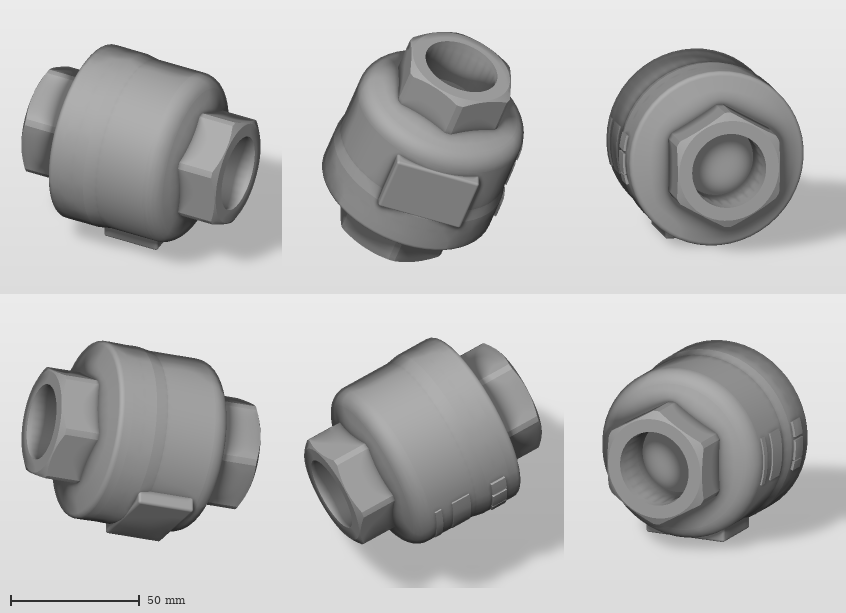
import cadquery as cq
import math

length = 84.0

ring_radius = 70.0 / 2
barrel_radius = 68.0 / 2
ring_start = -21.6
ring_draft_start = -18.15
ring_end = -8.1
ring_end_radius = 34.95
barrel_start = -3.0
barrel_end = 17.05
left_round = 2.0
right_round = 7.0
left_cone_angle = math.radians(15)
right_cone_angle = math.radians(20)

hex_flats = 41.0
hex_corner_radius = 45.95 / 2
hex_face_radius = 40.0 / 2
hex_chamfer_angle = math.radians(30)

port_mouth_radius = 29.65 / 2
port_throat_radius = 28.8 / 2
port_taper_depth = 14.5
port_depth = 19.0

pad_start = -8.0
pad_end = 15.1
pad_width = 33.8
pad_round = 1.0

mark_embed = 0.8
ring_mark_height = 1.0
ring_mark_span = (-16.0, -9.6)
ring_mark_arcs = ((-16, -10), (-9, 4), (6, 16))
barrel_mark_height = 0.7
barrel_mark_spans = ((-0.25, 7.7), (12.6, 15.4))
barrel_mark_arc = (-16, 16)


def revolve_about_x(profile):
    """Turn a closed (x, radius) profile about the X axis."""
    return profile.close().revolve(360, (0, 0, 0), (1, 0, 0))


def rounded_rim(x_tangent, radius, round_radius, cone_angle, side):
    """Midpoint and end of the arc that leads from a cylinder into an end cone."""
    def arc_point(angle):
        x = x_tangent + side * round_radius * math.sin(angle)
        r = radius - round_radius * (1 - math.cos(angle))
        return (x, r)

    sweep = math.pi / 2 - cone_angle
    return arc_point(sweep / 2), arc_point(sweep)


def cone_foot(rim_end, cone_angle, side):
    """Point where an end cone reaches the face radius of the hexagon."""
    rise = (rim_end[1] - hex_face_radius) * math.tan(cone_angle)
    return (rim_end[0] + side * rise, hex_face_radius)


def make_housing():
    left_mid, left_end = rounded_rim(ring_start, ring_radius, left_round, left_cone_angle, -1)
    right_mid, right_end = rounded_rim(barrel_end, barrel_radius, right_round, right_cone_angle, 1)
    left_foot = cone_foot(left_end, left_cone_angle, -1)
    right_foot = cone_foot(right_end, right_cone_angle, 1)
    profile = (
        cq.Workplane("XY")
        .moveTo(left_foot[0], 0)
        .lineTo(*left_foot)
        .lineTo(*left_end)
        .threePointArc(left_mid, (ring_start, ring_radius))
        .lineTo(ring_draft_start, ring_radius)
        .lineTo(ring_end, ring_end_radius)
        .lineTo(barrel_start, barrel_radius)
        .lineTo(barrel_end, barrel_radius)
        .threePointArc(right_mid, right_end)
        .lineTo(*right_foot)
        .lineTo(right_foot[0], 0)
    )
    return revolve_about_x(profile)


def make_hexagon():
    """Hexagonal bar with flats on +Y and -Y, turned corners and chamfered ends."""
    hexagon = (
        cq.Workplane("YZ", origin=(-length / 2, 0, 0))
        .polygon(6, hex_flats / math.cos(math.pi / 6))
        .extrude(length)
        .rotate((0, 0, 0), (1, 0, 0), 30)
    )
    half = length / 2
    chamfer_length = (hex_corner_radius - hex_face_radius) * math.tan(hex_chamfer_angle)
    envelope = revolve_about_x(
        cq.Workplane("XY")
        .moveTo(-half, 0)
        .lineTo(-half, hex_face_radius)
        .lineTo(-half + chamfer_length, hex_corner_radius)
        .lineTo(half - chamfer_length, hex_corner_radius)
        .lineTo(half, hex_face_radius)
        .lineTo(half, 0)
    )
    return hexagon.intersect(envelope)


def make_port(side):
    """Cutter for the port in the end on the given side (-1 or +1 along X)."""
    mouth = side * length / 2
    taper_end = side * (length / 2 - port_taper_depth)
    floor = side * (length / 2 - port_depth)
    return revolve_about_x(
        cq.Workplane("XY")
        .moveTo(mouth, 0)
        .lineTo(mouth, port_mouth_radius)
        .lineTo(taper_end, port_throat_radius)
        .lineTo(floor, port_throat_radius)
        .lineTo(floor, 0)
    )


def make_pad():
    """Block reaching from the axis height down to the lowest point of the ring."""
    pad_length = pad_end - pad_start
    return (
        cq.Workplane("XY")
        .box(pad_length, pad_width, ring_radius, centered=(False, True, False))
        .translate((pad_start, 0, -ring_radius))
        .edges("|Z or <Z")
        .fillet(pad_round)
    )


def make_mark(span, arc, surface_radius, height):
    """Curved raised mark; the arc angles turn from +Y towards +Z."""
    x_start, x_end = span
    start_angle, end_angle = arc
    inner = surface_radius - mark_embed
    outer = surface_radius + height
    return (
        cq.Workplane("XY")
        .moveTo(x_start, inner)
        .lineTo(x_end, inner)
        .lineTo(x_end, outer)
        .lineTo(x_start, outer)
        .close()
        .revolve(end_angle - start_angle, (0, 0, 0), (1, 0, 0))
        .rotate((0, 0, 0), (1, 0, 0), start_angle)
    )


result = make_housing().union(make_hexagon()).union(make_pad())
for arc in ring_mark_arcs:
    result = result.union(make_mark(ring_mark_span, arc, ring_radius, ring_mark_height))
for span in barrel_mark_spans:
    result = result.union(make_mark(span, barrel_mark_arc, barrel_radius, barrel_mark_height))
for side in (-1, 1):
    result = result.cut(make_port(side))